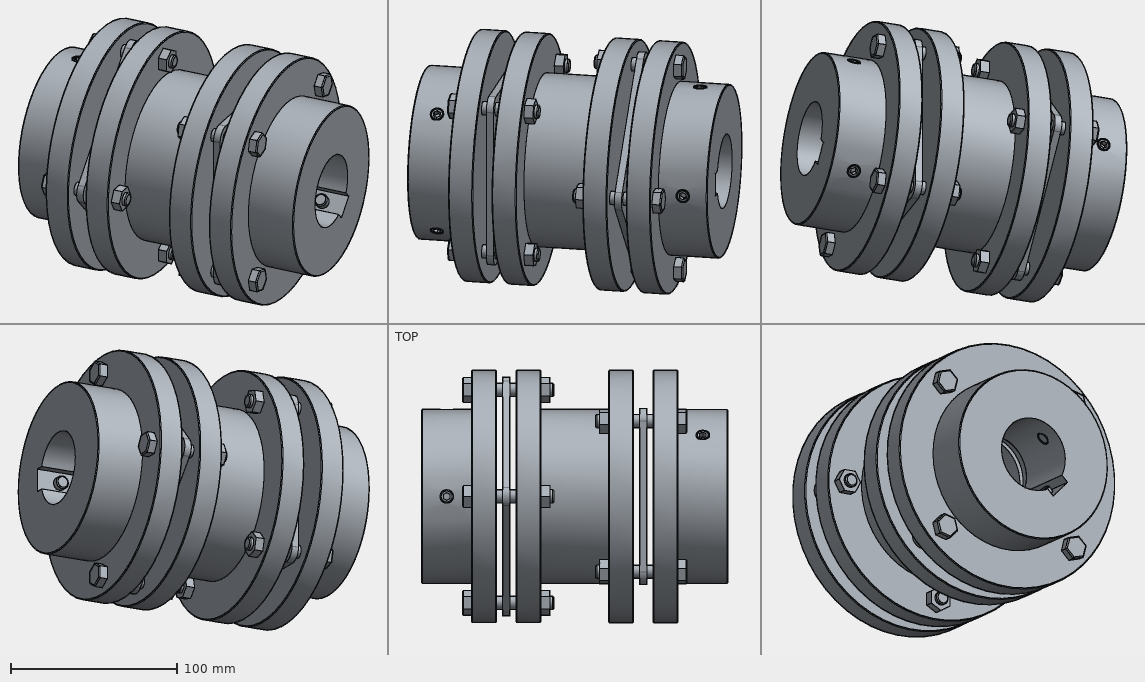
import cadquery as cq
import math

length = 184.0
centre_x = length / 2

body_radius = 52.5
flange_radius = 76.0
hub_length = 30.0
flange_thickness = 14.9
flange_gap = 11.8
hub_bore_radius = 22.5
spacer_bore_radius = 25.0
edge_chamfer = 0.5

keyway_width = 14.2
keyway_floor = 26.9

set_screw_angles = (0.0, -90.0)
screw_radius = 4.0
screw_chamfer = 0.7
screw_recess = 0.2
screw_top = body_radius - screw_recess
socket_flats = 4.0
socket_depth = 4.0

disc_thickness = 4.5
ear_radius = 7.7

bolt_count = 4
bolt_circle_radius = 64.0
bolt_radius = 4.0
hex_flats = 13.0
head_height = 5.5
head_chamfer = 0.7
nut_height = 5.5
thread_overhang = 2.4
thread_chamfer = 0.7

joint_turn = -45.0

hub_flange_start = hub_length
hub_flange_end = hub_flange_start + flange_thickness
spacer_flange_start = hub_flange_end + flange_gap
spacer_flange_end = spacer_flange_start + flange_thickness
disc_start = hub_flange_end + (flange_gap - disc_thickness) / 2
set_screw_x = hub_length / 2


def plane_at(x):
    """Work plane normal to +X; local x is +Y, local y is +Z."""
    return cq.Workplane("YZ", origin=(x, 0, 0))


def cylinder(x, radius, height):
    return plane_at(x).circle(radius).extrude(height)


def hexagon_prism(plane, flats, height):
    """Hexagonal prism with two corners on the plane's local x axis."""
    return plane.polygon(6, flats / math.cos(math.pi / 6)).extrude(height)


def flange(x):
    return cylinder(x, flange_radius, flange_thickness).edges().chamfer(edge_chamfer)


def set_screw_hole():
    """Radial cutter along +Z, from the axis out through the hub wall."""
    return cq.Workplane("XY", origin=(set_screw_x, 0, 0)).circle(screw_radius).extrude(flange_radius)


def set_screw():
    """Set screw along +Z, its tip level with the bore and its socket facing outward."""
    base = cq.Workplane("XY", origin=(set_screw_x, 0, hub_bore_radius))
    screw = base.circle(screw_radius).extrude(screw_top - hub_bore_radius).edges().chamfer(screw_chamfer)
    socket_plane = cq.Workplane(cq.Plane((set_screw_x, 0, screw_top), (0, 1, 0), (0, 0, 1)))
    return screw.cut(hexagon_prism(socket_plane, socket_flats, -socket_depth))


def turn(shape, angle):
    """Turn about the coupling axis."""
    return shape.rotate((0, 0, 0), (1, 0, 0), angle)


def hub():
    barrel = cylinder(0, body_radius, hub_flange_end).faces("<X").edges().chamfer(edge_chamfer)
    body = barrel.union(flange(hub_flange_start))
    body = body.cut(cylinder(0, hub_bore_radius, hub_flange_end))
    keyway = plane_at(0).center(keyway_floor / 2, 0).rect(keyway_floor, keyway_width).extrude(hub_flange_end)
    body = body.cut(keyway)
    for angle in set_screw_angles:
        body = body.cut(turn(set_screw_hole(), angle)).union(turn(set_screw(), angle))
    return body


def disc_pack():
    """Square link ring whose rounded ears wrap the bolts."""
    ear_spacing = bolt_circle_radius * math.sqrt(2)
    square_side = ear_spacing + 2 * ear_radius
    pack = plane_at(disc_start).rect(square_side, square_side).extrude(disc_thickness)
    pack = pack.edges("|X").fillet(ear_radius)
    pack = turn(pack, 45)
    return pack.cut(cylinder(disc_start, spacer_bore_radius, disc_thickness))


def bolt():
    """Bolt at +Y with its head against the hub flange and its nut against the spacer flange."""
    head_start = hub_flange_start - head_height
    nut_end = spacer_flange_end + nut_height
    thread_end = nut_end + thread_overhang
    axis_y = bolt_circle_radius
    head = hexagon_prism(plane_at(head_start).center(axis_y, 0), hex_flats, head_height)
    head = head.faces("<X").edges().chamfer(head_chamfer)
    shank = plane_at(hub_flange_start).center(axis_y, 0).circle(bolt_radius)
    shank = shank.extrude(thread_end - hub_flange_start)
    shank = shank.faces(">X").edges().chamfer(thread_chamfer)
    nut = hexagon_prism(plane_at(spacer_flange_end).center(axis_y, 0), hex_flats, nut_height)
    return shank.union(head).union(nut)


def joint():
    """Left-hand half: hub, disc pack, bolts and the spacer flange."""
    body = hub().union(flange(spacer_flange_start)).union(disc_pack())
    for i in range(bolt_count):
        body = body.union(turn(bolt(), i * 360 / bolt_count))
    return body.cut(cylinder(spacer_flange_start, spacer_bore_radius, flange_thickness))


def spacer_tube():
    """Tube joining the two spacer flanges."""
    tube_length = length - 2 * spacer_flange_end
    tube = cylinder(spacer_flange_end, body_radius, tube_length)
    return tube.cut(cylinder(spacer_flange_end, spacer_bore_radius, tube_length))


left_joint = joint()
right_joint = turn(left_joint.mirror("YZ", (centre_x, 0, 0)), joint_turn)
result = right_joint.union(spacer_tube()).union(left_joint)